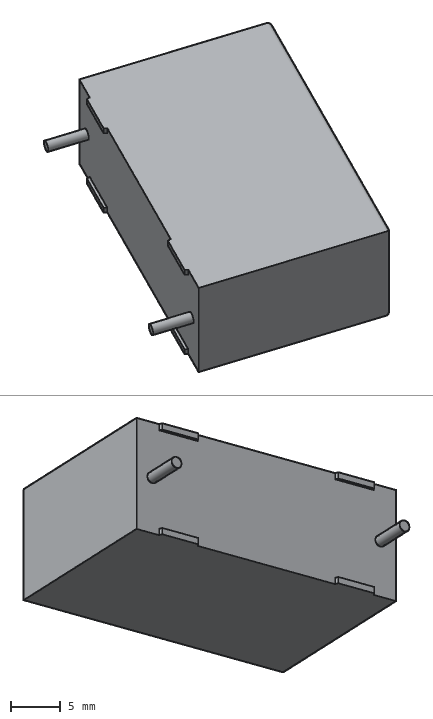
import cadquery as cq

length = 31.3
depth = 20.9
height = 12.3
back_edge_radius = 0.5

foot_root_length = 4.65
foot_tip_length = 4.35
foot_projection = 0.35
foot_height = 0.7
foot_center_x = 10.62

pin_diameter = 1.2
pin_length = 4.4
pin_pitch = 27.5


def make_foot(center_x, bottom_z):
    """Foot with tapered ends that projects from the pin face toward -Y."""
    root_half = foot_root_length / 2
    tip_half = foot_tip_length / 2
    return (
        cq.Workplane("XY", origin=(center_x, 0, bottom_z))
        .moveTo(-root_half, 0)
        .lineTo(-tip_half, -foot_projection)
        .lineTo(tip_half, -foot_projection)
        .lineTo(root_half, 0)
        .close()
        .extrude(foot_height)
    )


def make_housing():
    """Box with rounded back edges and a foot near each corner of the pin face."""
    body = (
        cq.Workplane("XY")
        .box(length, depth, height, centered=(True, False, True))
        .faces(">Y")
        .edges()
        .fillet(back_edge_radius)
    )
    for center_x in (-foot_center_x, foot_center_x):
        for bottom_z in (-height / 2, height / 2 - foot_height):
            body = body.union(make_foot(center_x, bottom_z))
    return body


def make_pin(center_x):
    """Round pin that stands on the pin face and points toward -Y."""
    return (
        cq.Workplane("XZ", origin=(center_x, 0, 0))
        .circle(pin_diameter / 2)
        .extrude(pin_length)
    )


housing = make_housing()
pins = [make_pin(center_x) for center_x in (-pin_pitch / 2, pin_pitch / 2)]

result = cq.Compound.makeCompound([housing.val(), *[pin.val() for pin in pins]])